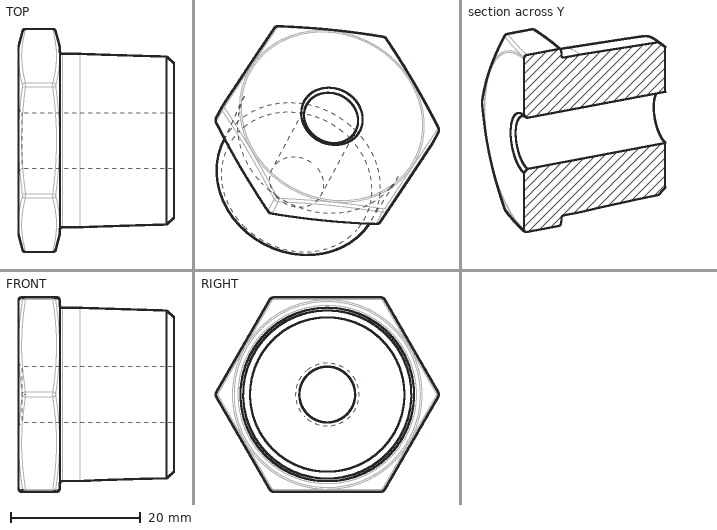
import cadquery as cq
import math

total_length = 24.0

sides = 6
across_flats = 30.0
head_length = 6.4
corner_radius = 0.75
bevel_start_radius = 14.48
bevel_angle = 15.0
bevel_start_blend = 1.03
flat_blend = 0.48

collar_radius = 26.75 / 2
collar_end = 9.5
neck_fillet = 0.38
radius_loss_per_length = 1 / 32
chamfer_start = 22.85
end_radius = 11.9

bore_radius = 8.55 / 2
countersink_radius = 9.73 / 2


def revolve_about_x(half_profile):
    return half_profile.close().revolve(360, (0, 0, 0), (1, 0, 0))


def hexagon_prism():
    across_corners = across_flats / math.cos(math.pi / sides)
    prism = cq.Workplane("YZ").polygon(sides, across_corners).extrude(head_length)
    return prism.edges("|X").fillet(corner_radius)


def bevel_envelope():
    """Round body whose two conical ends bevel the corners of the hexagon."""
    rim_radius = across_flats
    bevel_slope = math.tan(math.radians(bevel_angle))
    bevel_depth = (rim_radius - bevel_start_radius) * bevel_slope
    one_sided = revolve_about_x(
        cq.Workplane("XY")
        .lineTo(0, bevel_start_radius)
        .lineTo(bevel_depth, rim_radius)
        .lineTo(total_length, rim_radius)
        .lineTo(total_length, 0)
    )
    one_sided = one_sided.faces("<X").edges().fillet(bevel_start_blend)
    other_side = one_sided.mirror("YZ").translate((head_length, 0, 0))
    return one_sided.intersect(other_side)


def head():
    body = hexagon_prism().intersect(bevel_envelope())
    middle = head_length / 2
    half_slab = head_length / 20
    outer_sides = cq.selectors.BoxSelector(
        (middle - half_slab, -across_flats, -across_flats),
        (middle + half_slab, across_flats, across_flats),
    )
    return body.faces(outer_sides).edges("not |X").fillet(flat_blend)


def shank():
    taper_length = chamfer_start - collar_end
    taper_end_radius = collar_radius - taper_length * radius_loss_per_length
    return revolve_about_x(
        cq.Workplane("XZ")
        .moveTo(head_length, 0)
        .lineTo(head_length, collar_radius + neck_fillet)
        .radiusArc((head_length + neck_fillet, collar_radius), -neck_fillet)
        .lineTo(collar_end, collar_radius)
        .lineTo(chamfer_start, taper_end_radius)
        .lineTo(total_length, end_radius)
        .lineTo(total_length, 0)
    )


def bore():
    """Through hole with a 45 degree countersink in the head face."""
    countersink_depth = countersink_radius - bore_radius
    return revolve_about_x(
        cq.Workplane("XZ")
        .lineTo(0, countersink_radius)
        .lineTo(countersink_depth, bore_radius)
        .lineTo(total_length, bore_radius)
        .lineTo(total_length, 0)
    )


result = head().union(shank()).cut(bore())